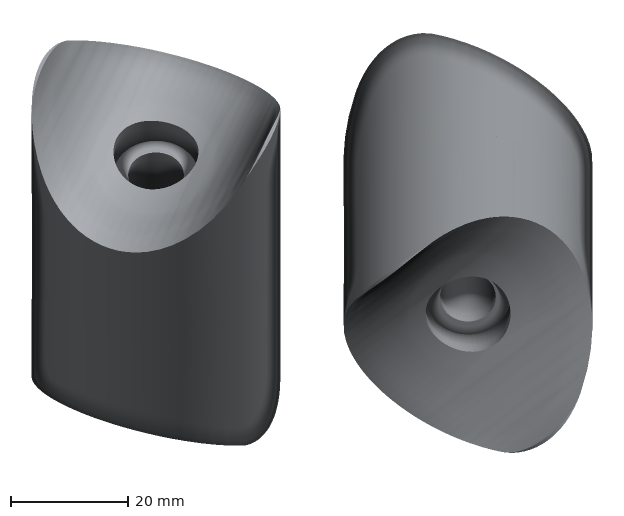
import cadquery as cq
import math

BODY_DIAMETER = 42.4
TOTAL_HEIGHT = 81.99
HALF_HEIGHT = TOTAL_HEIGHT / 2
BODY_RADIUS = BODY_DIAMETER / 2

SADDLE_FLOOR_HEIGHT = 25.0
SADDLE_AXIS_HEIGHT = SADDLE_FLOOR_HEIGHT + BODY_RADIUS
FLANK_ANGLE = 45
TIP_RADIUS = (SADDLE_AXIS_HEIGHT - HALF_HEIGHT) / (1 / math.cos(math.radians(FLANK_ANGLE)) - 1)

BOLT_HOLE_DIAMETER = 9.5
COUNTERBORE_DIAMETER = 14.5
COUNTERBORE_FLOOR_HEIGHT = 19.5


def saddle_cutter():
    """Cylinder along Y that hollows the end face into a saddle."""
    return (
        cq.Workplane("XZ")
        .center(0, SADDLE_AXIS_HEIGHT)
        .circle(BODY_RADIUS)
        .extrude(BODY_RADIUS, both=True)
    )


def rounded_tip_envelope():
    """Prism along X whose gable, with 45 degree flanks and a rounded ridge, trims the tips."""
    tangent_offset = TIP_RADIUS * math.sin(math.radians(FLANK_ANGLE))
    tangent_height = SADDLE_AXIS_HEIGHT - tangent_offset
    return (
        cq.Workplane("YZ")
        .moveTo(-BODY_RADIUS, 0)
        .lineTo(-BODY_RADIUS, SADDLE_FLOOR_HEIGHT)
        .lineTo(-tangent_offset, tangent_height)
        .threePointArc((0, HALF_HEIGHT), (tangent_offset, tangent_height))
        .lineTo(BODY_RADIUS, SADDLE_FLOOR_HEIGHT)
        .lineTo(BODY_RADIUS, 0)
        .close()
        .extrude(BODY_RADIUS, both=True)
    )


def bolt_passage():
    """Through hole with a counterbore that opens into the saddle."""
    hole = cq.Workplane("XY").circle(BOLT_HOLE_DIAMETER / 2).extrude(HALF_HEIGHT)
    counterbore = (
        cq.Workplane("XY")
        .workplane(offset=COUNTERBORE_FLOOR_HEIGHT)
        .circle(COUNTERBORE_DIAMETER / 2)
        .extrude(HALF_HEIGHT - COUNTERBORE_FLOOR_HEIGHT)
    )
    return hole.union(counterbore)


def saddle_spacer():
    """Spacer standing on Z = 0 with its saddle facing up."""
    blank = cq.Workplane("XY").circle(BODY_RADIUS).extrude(HALF_HEIGHT)
    return blank.cut(saddle_cutter()).intersect(rounded_tip_envelope()).cut(bolt_passage())


upper_spacer = saddle_spacer()
lower_spacer = upper_spacer.mirror("XY")

result = cq.Compound.makeCompound([upper_spacer.val(), lower_spacer.val()])